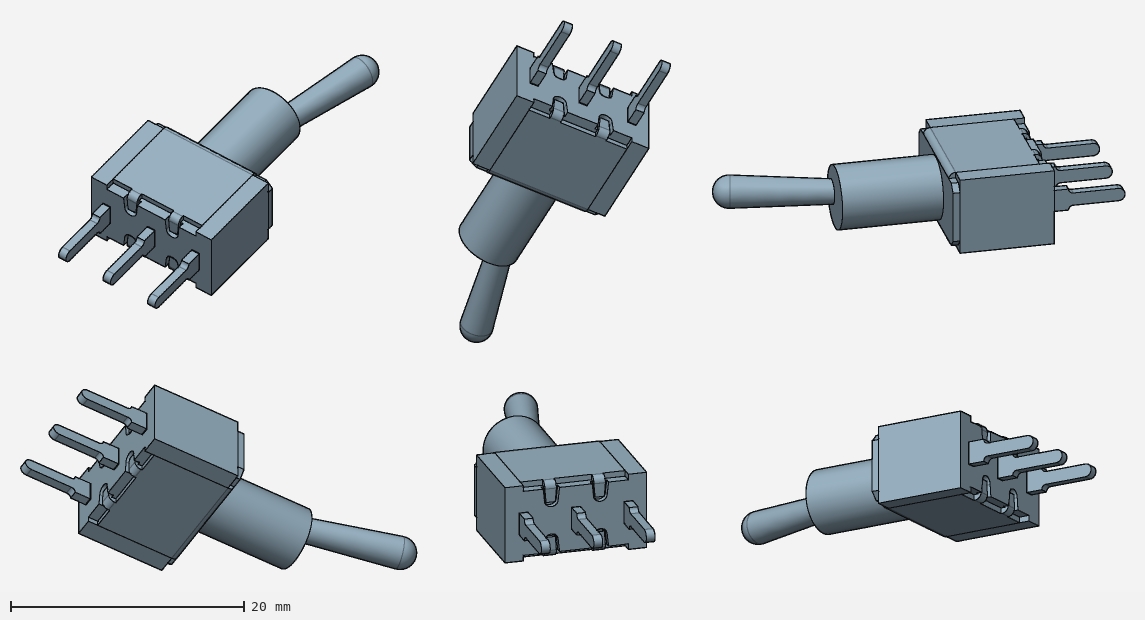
import cadquery as cq
import math


HOUSING_WIDTH = 12.7
HOUSING_HEIGHT = 6.9
HOUSING_LENGTH = 8.3

PLATE_THICKNESS = 0.62
PLATE_CHAMFER = 0.65
STRAP_WIDTH = 9.4
STRAP_THICKNESS = 0.5
STRAP_SETBACK = 0.93
TAB_SPACING = 4.4
TAB_WIDTH = 1.03
TAB_TIP_WIDTH = 0.82
TAB_REACH = 1.85
TAB_SETBACK = 0.2
TAB_BEND_RADIUS = 0.62

POCKET_DEPTH = 0.55
POCKET_MOUTH_WIDTH = 1.48
POCKET_TIP_RADIUS = 0.62
POCKET_REACH = 2.2

BUSHING_DIAMETER = 5.65
BUSHING_LENGTH = 8.9

LEVER_TILT = 13.2
LEVER_HEIGHT = 10.0
LEVER_TIP_RADIUS = 1.45
LEVER_TAPER = 2.2
PIVOT_DEPTH = 5.15

TERMINAL_PITCH = 4.7
TERMINAL_THICKNESS = 0.8
TERMINAL_LENGTH = 6.52
SHOULDER_WIDTH = 2.0
SHOULDER_LENGTH = 1.55
BLADE_WIDTH = 1.15
PAD_HEIGHT = 0.07

TOP = HOUSING_HEIGHT / 2
RECESS_FLOOR = TOP - STRAP_THICKNESS
PLATE_FACE = HOUSING_LENGTH + PLATE_THICKNESS
BUSHING_FACE = PLATE_FACE + BUSHING_LENGTH
TAB_CENTERS = (-TAB_SPACING / 2, TAB_SPACING / 2)
TERMINAL_CENTERS = (-TERMINAL_PITCH, 0, TERMINAL_PITCH)


def with_mirror_below(solid):
    """Add the copy of a feature reflected to the -Z side."""
    return solid.union(solid.mirror("XY"))


def block(width, y_start, y_end, z_start, z_end):
    """Box centred on X between the given Y and Z limits."""
    return (
        cq.Workplane("XY")
        .box(width, y_end - y_start, z_end - z_start, centered=(True, False, False))
        .translate((0, y_start, z_start))
    )


def make_pocket(x):
    """Tapered pocket with a round tip, open to the end face and to the strap recess."""
    tip = TOP - POCKET_REACH
    arc_start = tip + POCKET_TIP_RADIUS
    half_mouth = POCKET_MOUTH_WIDTH / 2
    return (
        cq.Workplane("XZ")
        .moveTo(x - half_mouth, RECESS_FLOOR)
        .lineTo(x - POCKET_TIP_RADIUS, arc_start)
        .threePointArc((x, tip), (x + POCKET_TIP_RADIUS, arc_start))
        .lineTo(x + half_mouth, RECESS_FLOOR)
        .close()
        .extrude(-POCKET_DEPTH)
    )


def make_housing():
    """Box with a full-length recess for each strap, tab pockets and terminal pads."""
    body = block(HOUSING_WIDTH, 0, HOUSING_LENGTH, -TOP, TOP)
    body = body.cut(with_mirror_below(block(STRAP_WIDTH, 0, HOUSING_LENGTH, RECESS_FLOOR, TOP)))
    for x in TAB_CENTERS:
        body = body.cut(with_mirror_below(make_pocket(x)))
    pad = block(TERMINAL_THICKNESS, -PAD_HEIGHT, 0, -SHOULDER_WIDTH / 2, SHOULDER_WIDTH / 2)
    for x in TERMINAL_CENTERS:
        body = body.union(pad.translate((x, 0, 0)))
    return body


def make_tab(x):
    """Tab that leaves the strap end, bends inward and narrows to its tip."""
    tip = TOP - TAB_REACH
    bend_end = TOP - TAB_BEND_RADIUS
    bend_start = TAB_SETBACK + TAB_BEND_RADIUS
    bend_middle = TAB_BEND_RADIUS * math.sqrt(0.5)
    profile = (
        cq.Workplane("YZ")
        .moveTo(STRAP_SETBACK, TOP)
        .lineTo(bend_start, TOP)
        .threePointArc(
            (bend_start - bend_middle, bend_end + bend_middle),
            (TAB_SETBACK, bend_end),
        )
        .lineTo(TAB_SETBACK, tip)
        .lineTo(POCKET_DEPTH, tip)
        .lineTo(POCKET_DEPTH, RECESS_FLOOR)
        .lineTo(STRAP_SETBACK, RECESS_FLOOR)
        .close()
        .extrude(TAB_WIDTH / 2, both=True)
        .translate((x, 0, 0))
    )
    outline = (
        cq.Workplane("XZ")
        .moveTo(x - TAB_WIDTH / 2, TOP)
        .lineTo(x - TAB_WIDTH / 2, bend_end)
        .lineTo(x - TAB_TIP_WIDTH / 2, tip)
        .lineTo(x + TAB_TIP_WIDTH / 2, tip)
        .lineTo(x + TAB_WIDTH / 2, bend_end)
        .lineTo(x + TAB_WIDTH / 2, TOP)
        .close()
        .extrude(-STRAP_SETBACK)
    )
    return profile.intersect(outline)


def make_strap_frame():
    """U-shaped frame: both straps and the middle of the plate, with round outer bends."""
    outer = block(STRAP_WIDTH, STRAP_SETBACK, PLATE_FACE, -TOP, TOP)
    outer = outer.faces(">Y").edges("|X").fillet(PLATE_THICKNESS)
    return outer.cut(block(STRAP_WIDTH, 0, HOUSING_LENGTH, -RECESS_FLOOR, RECESS_FLOOR))


def make_bracket(lever):
    """Plate with chamfered corners, strap frame, tabs and the bushing with the lever socket."""
    plate = block(HOUSING_WIDTH, HOUSING_LENGTH, PLATE_FACE, -RECESS_FLOOR, RECESS_FLOOR)
    plate = plate.edges("|Y").chamfer(PLATE_CHAMFER)
    bushing = (
        cq.Workplane("XZ", origin=(0, PLATE_FACE, 0))
        .circle(BUSHING_DIAMETER / 2)
        .extrude(-BUSHING_LENGTH)
    )
    bracket = plate.union(make_strap_frame()).union(bushing)
    for x in TAB_CENTERS:
        bracket = bracket.union(with_mirror_below(make_tab(x)))
    return bracket.cut(lever)


def make_lever():
    """Tapered round lever with a ball tip, tilted toward +X about its inner end."""
    tilt = math.radians(LEVER_TILT)
    taper = math.radians(LEVER_TAPER)
    pivot_y = BUSHING_FACE - PIVOT_DEPTH
    ball_center = (PIVOT_DEPTH + LEVER_HEIGHT - LEVER_TIP_RADIUS) / math.cos(tilt)
    rim_radius = LEVER_TIP_RADIUS * math.cos(taper)
    rim_y = ball_center - LEVER_TIP_RADIUS * math.sin(taper)
    base_radius = rim_radius - rim_y * math.tan(taper)
    arc_angle = math.radians(45)
    return (
        cq.Workplane("XY")
        .lineTo(base_radius, 0)
        .lineTo(rim_radius, rim_y)
        .threePointArc(
            (
                LEVER_TIP_RADIUS * math.cos(arc_angle),
                ball_center + LEVER_TIP_RADIUS * math.sin(arc_angle),
            ),
            (0, ball_center + LEVER_TIP_RADIUS),
        )
        .close()
        .revolve(360, (0, 0, 0), (0, 1, 0))
        .rotate((0, 0, 0), (0, 0, 1), -LEVER_TILT)
        .translate((0, pivot_y, 0))
    )


def make_terminal(x):
    """Flat terminal: wide shoulder, concave step down to a blade with a full round tip."""
    half_blade = BLADE_WIDTH / 2
    half_shoulder = SHOULDER_WIDTH / 2
    step = half_shoulder - half_blade
    blade_start = -(SHOULDER_LENGTH + step)
    tip_start = half_blade - TERMINAL_LENGTH
    tip_middle_y = tip_start - half_blade * math.sqrt(0.5)
    tip_middle_z = half_blade * math.sqrt(0.5)
    arc_inset = step * (1 - math.sqrt(0.5))
    arc_y = -SHOULDER_LENGTH - arc_inset
    arc_z = half_blade + arc_inset
    return (
        cq.Workplane("YZ")
        .moveTo(-PAD_HEIGHT, half_shoulder)
        .lineTo(-SHOULDER_LENGTH, half_shoulder)
        .threePointArc((arc_y, arc_z), (blade_start, half_blade))
        .lineTo(tip_start, half_blade)
        .threePointArc((tip_middle_y, tip_middle_z), (-TERMINAL_LENGTH, 0))
        .threePointArc((tip_middle_y, -tip_middle_z), (tip_start, -half_blade))
        .lineTo(blade_start, -half_blade)
        .threePointArc((arc_y, -arc_z), (-SHOULDER_LENGTH, -half_shoulder))
        .lineTo(-PAD_HEIGHT, -half_shoulder)
        .close()
        .extrude(TERMINAL_THICKNESS / 2, both=True)
        .translate((x, 0, 0))
    )


housing = make_housing()
lever = make_lever()
bracket = make_bracket(lever)
terminals = [make_terminal(x) for x in TERMINAL_CENTERS]

result = cq.Compound.makeCompound(
    [housing.val(), bracket.val(), lever.val(), *(terminal.val() for terminal in terminals)]
)